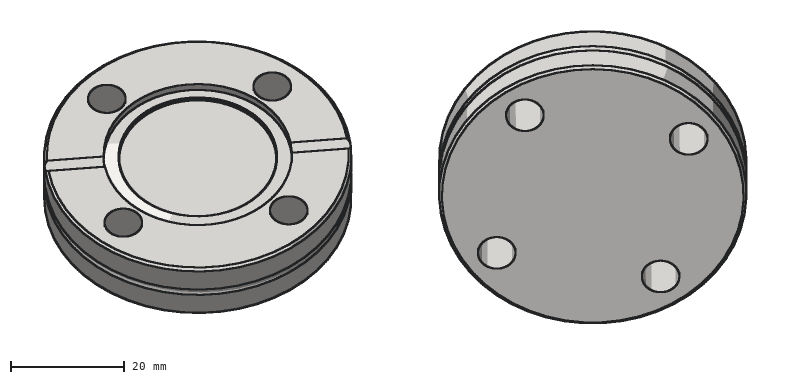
import cadquery as cq
import math

outer_radius = 27.0
thickness = 12.0
edge_chamfer = 0.5

rim_groove_width = 1.4
rim_groove_depth = 0.2

recess_radius = 16.55
knife_edge_radius = 13.95
knife_edge_depth = 0.6
knife_edge_slope = 20.0
knife_edge_chamfer = 0.15
floor_depth = 1.2

bolt_count = 4
bolt_hole_diameter = 6.6
bolt_circle_diameter = 41.3

leak_groove_width = 2.4
leak_groove_depth = 0.6
leak_groove_angles = (45.0, 225.0)


def make_flange_body():
    """Revolve the half section: chamfered rim, rim groove, recess and knife edge."""
    mid_height = thickness / 2
    groove_half_width = rim_groove_width / 2
    slope_drop = (recess_radius - knife_edge_radius) * math.tan(math.radians(knife_edge_slope))
    recess_bottom = thickness - knife_edge_depth - slope_drop
    floor_radius = knife_edge_radius - knife_edge_chamfer
    section = (
        cq.Workplane("XZ")
        .lineTo(outer_radius - edge_chamfer, 0)
        .lineTo(outer_radius, edge_chamfer)
        .lineTo(outer_radius, mid_height - groove_half_width)
        .threePointArc(
            (outer_radius - rim_groove_depth, mid_height),
            (outer_radius, mid_height + groove_half_width),
        )
        .lineTo(outer_radius, thickness - edge_chamfer)
        .lineTo(outer_radius - edge_chamfer, thickness)
        .lineTo(recess_radius, thickness)
        .lineTo(recess_radius, recess_bottom)
        .lineTo(knife_edge_radius, thickness - knife_edge_depth)
        .lineTo(floor_radius, thickness - knife_edge_depth - knife_edge_chamfer)
        .lineTo(floor_radius, thickness - floor_depth)
        .lineTo(0, thickness - floor_depth)
        .close()
    )
    return section.revolve(360, (0, 0, 0), (0, 1, 0))


def cut_bolt_holes(body):
    """Drill the through holes, equally spaced from the +X axis."""
    return (
        body.faces("<Z")
        .workplane(origin=(0, 0, 0))
        .polarArray(bolt_circle_diameter / 2, 0, 360, bolt_count)
        .hole(bolt_hole_diameter)
    )


def make_leak_groove_cutter(angle):
    """Radial cylinder from within the recess outwards, sunk by the groove depth."""
    half_width = leak_groove_width / 2
    cutter_radius = (half_width**2 + leak_groove_depth**2) / (2 * leak_groove_depth)
    axis_height = thickness - leak_groove_depth + cutter_radius
    inner_end = (recess_radius + knife_edge_radius) / 2
    return (
        cq.Workplane("YZ", origin=(inner_end, 0, axis_height))
        .circle(cutter_radius)
        .extrude(outer_radius)
        .rotate((0, 0, 0), (0, 0, 1), angle)
    )


result = cut_bolt_holes(make_flange_body())
for groove_angle in leak_groove_angles:
    result = result.cut(make_leak_groove_cutter(groove_angle))